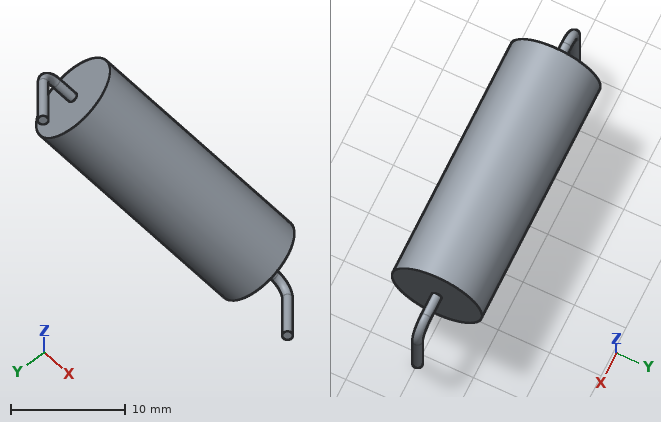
import cadquery as cq

total_length = 32.72
total_height = 11.55

housing_diameter = 8.77
housing_length = 24.0

wire_diameter = 0.95
bend_radius = 1.7

housing_end = housing_length / 2
leg_x = total_length / 2 - wire_diameter / 2
leg_bottom = housing_diameter / 2 - total_height
bend_start = leg_x - bend_radius


def make_housing():
    """Plain cylinder centred on the origin."""
    return (
        cq.Workplane("YZ", origin=(-housing_end, 0, 0))
        .circle(housing_diameter / 2)
        .extrude(housing_length)
    )


def make_lead(side):
    """Round wire that leaves one housing end (side -1 or +1) and bends down."""
    stub = (
        cq.Workplane("YZ", origin=(side * housing_end, 0, 0))
        .circle(wire_diameter / 2)
        .extrude(side * (bend_start - housing_end))
    )
    bend = (
        cq.Workplane("YZ", origin=(side * bend_start, 0, 0))
        .circle(wire_diameter / 2)
        .revolve(90, (0, -bend_radius, 0), (side, -bend_radius, 0))
    )
    leg = (
        cq.Workplane("XY", origin=(side * leg_x, 0, leg_bottom))
        .circle(wire_diameter / 2)
        .extrude(-bend_radius - leg_bottom)
    )
    return stub.union(bend).union(leg)


housing = make_housing()
leads = [make_lead(side) for side in (-1, 1)]

result = cq.Compound.makeCompound([housing.val(), *[lead.val() for lead in leads]])